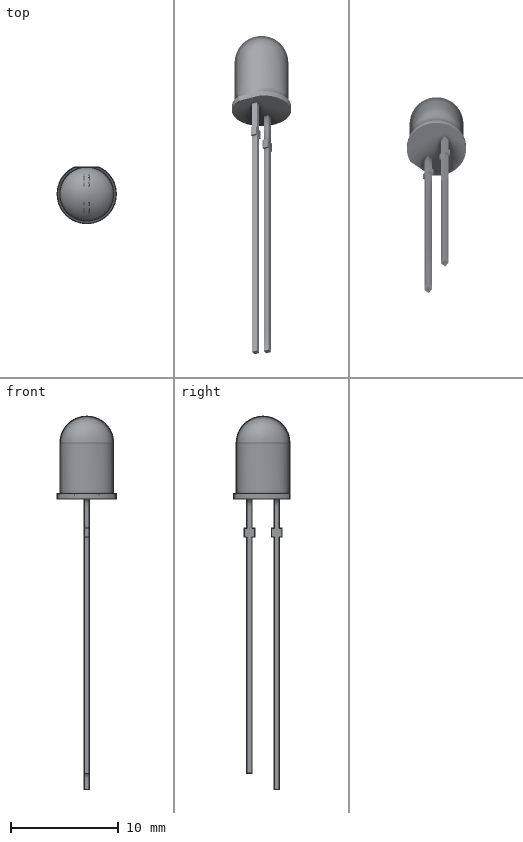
import cadquery as cq

lens_radius = 2.5
lens_height = 7.7
flange_radius = 2.75
flange_thickness = 0.5
dome_base_z = lens_height - lens_radius
flat_y = lens_radius

lead_width = 0.5
lead_pitch = 2.54
long_lead_length = 27.0
short_lead_length = 25.5
stop_width = 1.0
stop_height = 0.85
stop_drop = 2.7


def make_lens():
    """Revolve the cylinder and its hemispherical dome as one profile."""
    dome_mid = lens_radius * 0.5 ** 0.5
    return (
        cq.Workplane("XZ")
        .lineTo(lens_radius, 0)
        .lineTo(lens_radius, dome_base_z)
        .threePointArc((dome_mid, dome_base_z + dome_mid), (0, lens_height))
        .close()
        .revolve(360, (0, 0, 0), (0, 1, 0))
    )


def make_flange():
    """Round flange with a flat on the +Y side."""
    disc = cq.Workplane("XY").circle(flange_radius).extrude(flange_thickness)
    flat_cutter = cq.Workplane("XY").box(
        2 * flange_radius, flange_radius, flange_thickness, centered=(True, False, False)
    )
    return disc.cut(flat_cutter.translate((0, flat_y, 0)))


def make_lead(y, length):
    """Straight lead hanging from the flange at the given Y, with its stop."""
    wire = cq.Workplane("XY").center(0, y).rect(lead_width, lead_width).extrude(-length)
    stop = (
        cq.Workplane("XY", origin=(0, y, -stop_drop))
        .rect(lead_width, stop_width)
        .extrude(-stop_height)
    )
    return wire.union(stop)


long_lead = make_lead(lead_pitch / 2, long_lead_length)
short_lead = make_lead(-lead_pitch / 2, short_lead_length)

result = make_lens().union(make_flange()).union(long_lead).union(short_lead)